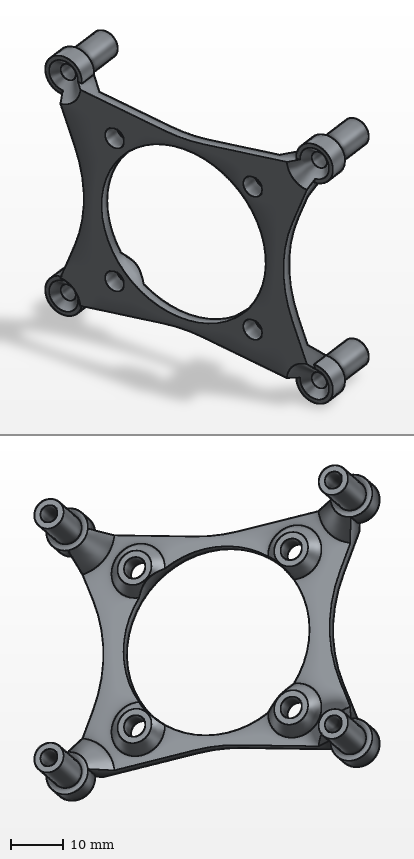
import cadquery as cq
import math

width = 66.7
height = 57.9
depth = 16.0

plate_thickness = 2.0
bore_diameter = 38.0
side_mid_x = 23.15
side_angle = 21.5
side_radius = 30.35
edge_mid_z = 21.35
edge_angle = 7.5
edge_radius = 34.0

collar_radius = 4.3
collar_front = 1.9
collar_back = 6.0
post_radius = 3.0
post_hole_radius = 1.75
countersink_radius = 5.2
post_x = width / 2 - collar_radius
post_z = height / 2 - collar_radius

screw_offset = 16.0
screw_hole_diameter = 4.35
boss_height = 2.0
boss_top_radius = 3.5

CORNER_SIGNS = [(-1, -1), (-1, 1), (1, -1), (1, 1)]


def cylinder(x, z, radius, start, end):
    """Solid cylinder along Y."""
    return cq.Workplane(cq.Solid.makeCylinder(
        radius, end - start, cq.Vector(x, start, z), cq.Vector(0, 1, 0)))


def cone(x, z, start_radius, end_radius, start, end):
    """Solid truncated cone along Y."""
    return cq.Workplane(cq.Solid.makeCone(
        start_radius, end_radius, end - start, cq.Vector(x, start, z), cq.Vector(0, 1, 0)))


def outline_prism(thickness):
    """Four-pointed outline with tangent arcs at each waist, extruded from Y = 0."""
    side_lean = math.radians(side_angle)
    edge_lean = math.radians(edge_angle)

    side_x = side_mid_x + side_radius * (1 - math.cos(side_lean))
    side_z = side_radius * math.sin(side_lean)
    edge_x = edge_radius * math.sin(edge_lean)
    edge_z = edge_mid_z + edge_radius * (1 - math.cos(edge_lean))

    side_slope = math.tan(side_lean)
    edge_slope = math.tan(edge_lean)
    side_axis_x = side_x - side_slope * side_z
    edge_axis_z = edge_z - edge_slope * edge_x
    tip_x = (side_axis_x + side_slope * edge_axis_z) / (1 - side_slope * edge_slope)
    tip_z = edge_axis_z + edge_slope * tip_x

    return (
        cq.Workplane("XZ")
        .moveTo(side_x, -side_z)
        .threePointArc((side_mid_x, 0), (side_x, side_z))
        .lineTo(tip_x, tip_z)
        .lineTo(edge_x, edge_z)
        .threePointArc((0, edge_mid_z), (-edge_x, edge_z))
        .lineTo(-tip_x, tip_z)
        .lineTo(-side_x, side_z)
        .threePointArc((-side_mid_x, 0), (-side_x, -side_z))
        .lineTo(-tip_x, -tip_z)
        .lineTo(-edge_x, -edge_z)
        .threePointArc((0, -edge_mid_z), (edge_x, -edge_z))
        .lineTo(tip_x, -tip_z)
        .close()
        .extrude(-thickness)
    )


def add_boss(body, x, z):
    """45-degree conical boss on the back of the plate."""
    boss_back = plate_thickness + boss_height
    return body.union(cone(x, z, boss_top_radius + boss_height, boss_top_radius, plate_thickness, boss_back))


def add_post(body, x, z):
    """Collar and post, joined to the plate by a 45-degree conical arm, with a countersunk bore."""
    arm_rise = collar_back - plate_thickness
    arm = cone(x, z, collar_radius + arm_rise, collar_radius, plate_thickness, collar_back)
    body = body.union(arm.intersect(outline_prism(collar_back)))
    body = body.union(cylinder(x, z, collar_radius, collar_front, collar_back))
    body = body.union(cylinder(x, z, post_radius, collar_back, depth))
    countersink_depth = countersink_radius - post_hole_radius
    body = body.cut(cone(x, z, countersink_radius, post_hole_radius, 0, countersink_depth))
    return body.cut(cylinder(x, z, post_hole_radius, 0, depth))


result = outline_prism(plate_thickness)
for sign_x, sign_z in CORNER_SIGNS:
    result = add_boss(result, sign_x * screw_offset, sign_z * screw_offset)
    result = add_post(result, sign_x * post_x, sign_z * post_z)

result = result.cut(cylinder(0, 0, bore_diameter / 2, 0, depth))
for sign_x, sign_z in CORNER_SIGNS:
    screw_hole = cylinder(sign_x * screw_offset, sign_z * screw_offset, screw_hole_diameter / 2, 0, depth)
    result = result.cut(screw_hole)